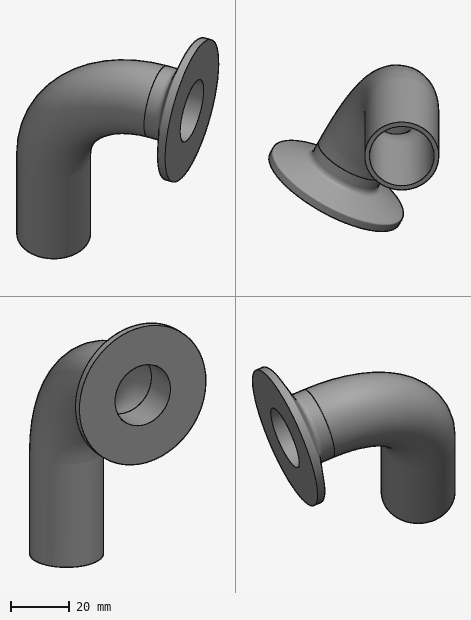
import cadquery as cq
import math

tube_diameter = 25.4
bore_diameter = 22.1
bend_radius = 38.1
leg_length = 38.0

ferrule_length = 12.7
flange_diameter = 50.5
neck_length = 4.1
neck_fillet = 2.0
rim_fillet = 0.6
cone_angle = math.radians(19)

tube_radius = tube_diameter / 2
bore_radius = bore_diameter / 2
flange_radius = flange_diameter / 2
bend_end_height = leg_length + bend_radius


def make_elbow():
    """Hollow tube: a vertical leg on the Z axis, then a quarter bend toward +X."""
    path = (
        cq.Workplane("XZ")
        .lineTo(0, leg_length)
        .radiusArc((bend_radius, bend_end_height), bend_radius)
    )
    return cq.Workplane("XY").circle(tube_radius).circle(bore_radius).sweep(path)


def make_ferrule():
    """Weld ferrule: short neck, rounded into a conical flange with a flat rim."""
    neck_corner = neck_length + neck_fillet * math.tan(math.pi / 4 - cone_angle / 2)
    rim_start = neck_corner + (flange_radius - tube_radius) * math.tan(cone_angle)
    profile = [
        (0, bore_radius),
        (0, tube_radius),
        (neck_corner, tube_radius),
        (rim_start, flange_radius),
        (ferrule_length, flange_radius),
        (ferrule_length, bore_radius),
    ]
    ferrule = cq.Workplane("XZ").polyline(profile).close().revolve(360, (0, 0, 0), (1, 0, 0))
    neck_edge = cq.selectors.NearestToPointSelector((neck_corner, 0, 0))
    rim_edge = cq.selectors.NearestToPointSelector((rim_start, 0, 0))
    circles = "%CIRCLE"
    ferrule = ferrule.edges(circles).edges(neck_edge).fillet(neck_fillet)
    ferrule = ferrule.edges(circles).edges(rim_edge).fillet(rim_fillet)
    return ferrule.translate((bend_radius, 0, bend_end_height))


elbow = make_elbow()
ferrule = make_ferrule()

result = cq.Compound.makeCompound([elbow.val(), ferrule.val()])